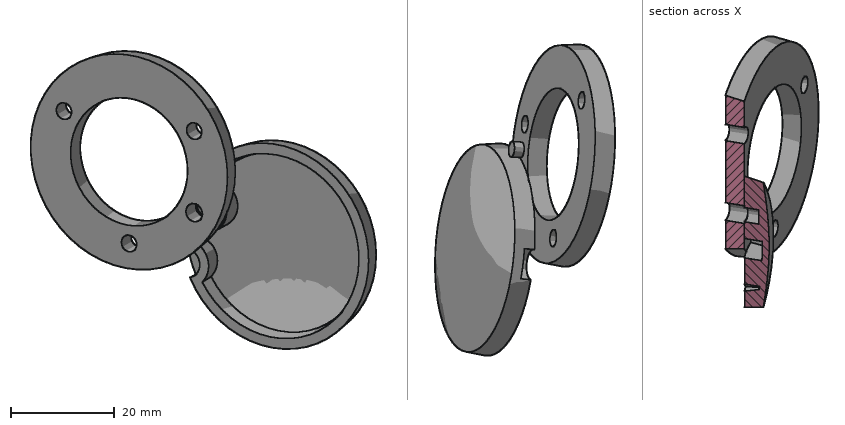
import cadquery as cq
import math

overall_length = 71.8

ring_radius = 21.55
ring_back_radius = 21.1
ring_bore_radius = 12.8
ring_thickness = 4.0
hole_circle_radius = 16.45
screw_hole_radius = 1.65
screw_hole_angles = [30, 150, 270]
pivot_angle = -30
pivot_bore_radius = 1.8

peg_radius = 1.5
peg_height = 2.0
peg_angle = 12.2

cover_swing_angle = -20
cover_center_x = hole_circle_radius * (
    math.cos(math.radians(pivot_angle)) + math.cos(math.radians(cover_swing_angle)))
cover_radius = overall_length - ring_radius - cover_center_x
cover_shoulder_radius = 20.1
cover_wall_height = 4.0
dome_rise = 2.95
cavity_radius = 18.45
wall_taper = (cover_radius - cover_shoulder_radius) / cover_wall_height
shell_thickness = 1.5

pivot_boss_radius = 5.0
pivot_hole_radius = 1.45
pivot_hole_depth = 3.0
notch_angle = 197.5
notch_center_radius = 20.25
notch_radius = 2.95
notch_depth = peg_height
notch_boss_radius = 4.9


def polar(center, radius, angle):
    """Point (x, z) at a radius and an angle in degrees from a center."""
    turn = math.radians(angle)
    return (center[0] + radius * math.cos(turn), center[1] + radius * math.sin(turn))


def cylinder(center, radius, start, length):
    """Cylinder along +Y from Y = start."""
    return cq.Workplane(cq.Solid.makeCylinder(
        radius, length, cq.Vector(center[0], start, center[1]), cq.Vector(0, 1, 0)))


def domed_disc(center, base_radius, edge_radius, edge_height, top_height):
    """Tapered disc on the back plane of the ring, closed by a spherical dome."""
    rise = top_height - edge_height
    sphere_radius = (edge_radius**2 + rise**2) / (2 * rise)
    half_turn = math.asin(edge_radius / sphere_radius) / 2
    arc_point = (
        sphere_radius * math.sin(half_turn),
        top_height - sphere_radius * (1 - math.cos(half_turn)),
    )
    profile = (
        cq.Workplane("XY")
        .lineTo(base_radius, 0)
        .lineTo(edge_radius, edge_height)
        .threePointArc(arc_point, (0, top_height))
        .close()
    )
    disc = profile.revolve(360, (0, 0, 0), (0, 1, 0))
    return disc.translate((center[0], ring_thickness, center[1]))


ring_center = (0, 0)
pivot = polar(ring_center, hole_circle_radius, pivot_angle)
cover_center = polar(pivot, hole_circle_radius, cover_swing_angle)


def make_ring():
    profile = cq.Workplane("XY").polyline([
        (ring_bore_radius, 0),
        (ring_radius, 0),
        (ring_back_radius, ring_thickness),
        (ring_bore_radius, ring_thickness),
    ]).close()
    ring = profile.revolve(360, (0, 0, 0), (0, 1, 0))
    for angle in screw_hole_angles:
        hole_center = polar(ring_center, hole_circle_radius, angle)
        ring = ring.cut(cylinder(hole_center, screw_hole_radius, 0, ring_thickness))
    ring = ring.cut(cylinder(pivot, pivot_bore_radius, 0, ring_thickness))
    peg_center = polar(ring_center, hole_circle_radius, peg_angle)
    return ring.union(cylinder(peg_center, peg_radius, ring_thickness, peg_height))


def make_cover():
    cover_height = cover_wall_height + dome_rise
    outside = domed_disc(
        cover_center, cover_radius, cover_shoulder_radius, cover_wall_height, cover_height)

    dome_radius = (cover_shoulder_radius**2 + dome_rise**2) / (2 * dome_rise)
    ceiling_radius = dome_radius - shell_thickness
    ceiling_height = cover_height - shell_thickness
    cavity_edge_radius = cavity_radius - wall_taper * cover_wall_height
    ceiling_drop = ceiling_radius - math.sqrt(ceiling_radius**2 - cavity_edge_radius**2)
    cavity = domed_disc(
        cover_center, cavity_radius, cavity_edge_radius, ceiling_height - ceiling_drop, ceiling_height)

    notch_center = polar(cover_center, notch_center_radius, notch_angle)
    cavity = cavity.cut(cylinder(pivot, pivot_boss_radius, ring_thickness, cover_height))
    cavity = cavity.cut(cylinder(notch_center, notch_boss_radius, ring_thickness, cover_height))
    cover = outside.cut(cavity)

    cover = cover.cut(cylinder(pivot, pivot_hole_radius, ring_thickness, pivot_hole_depth))
    return cover.cut(cylinder(notch_center, notch_radius, ring_thickness, notch_depth))


ring = make_ring()
cover = make_cover()

result = cq.Compound.makeCompound([ring.val(), cover.val()])